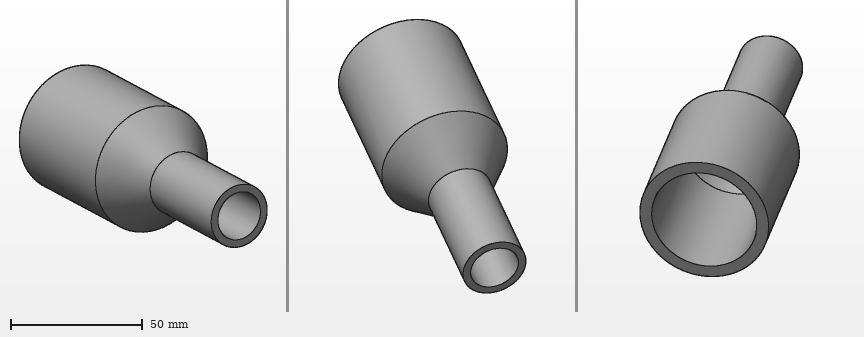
import cadquery as cq

total_length = 118.0
socket_length = 54.9
cone_length = 19.2
cone_end = socket_length + cone_length

socket_outer_radius = 50.0 / 2
socket_bore_radius = 40.8 / 2
spigot_outer_radius = 25.0 / 2
spigot_bore_radius = 19.0 / 2


def stepped_cone(wide_radius, narrow_radius):
    """Solid of revolution about X: wide cylinder, cone, narrow cylinder."""
    half_profile = [
        (0, 0),
        (0, wide_radius),
        (socket_length, wide_radius),
        (cone_end, narrow_radius),
        (total_length, narrow_radius),
        (total_length, 0),
    ]
    return (
        cq.Workplane("XY")
        .polyline(half_profile)
        .close()
        .revolve(360, (0, 0, 0), (1, 0, 0))
    )


outer_body = stepped_cone(socket_outer_radius, spigot_outer_radius)
through_bore = stepped_cone(socket_bore_radius, spigot_bore_radius)

result = outer_body.cut(through_bore)